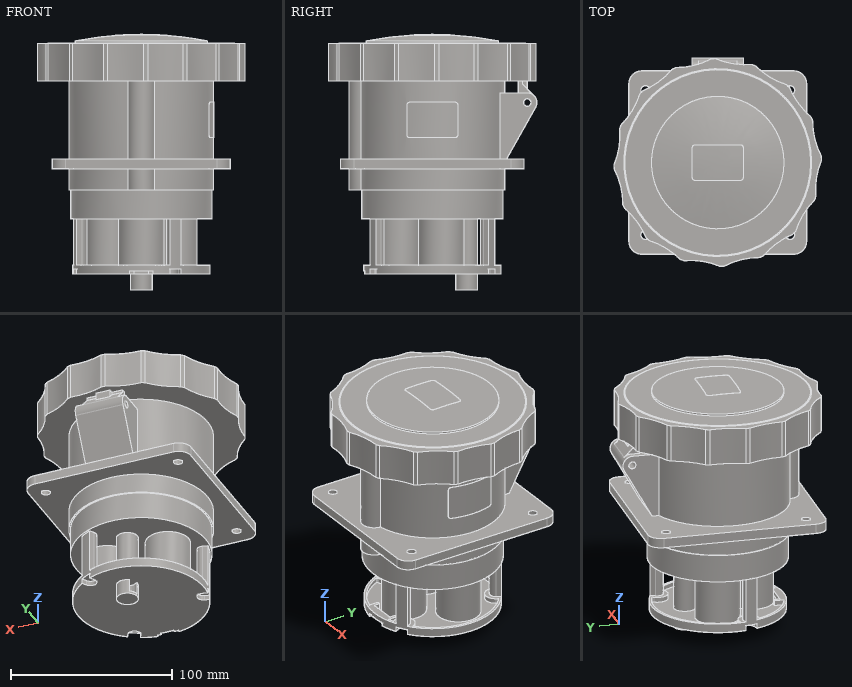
import cadquery as cq
import math

TIP_Z = 0
DISC_BOTTOM_Z = 9.9
DISC_FLOOR_Z = 12.4
DISC_TOP_Z = 15.5
COLLAR_BOTTOM_Z = 44.2
BODY_BOTTOM_Z = 62.1
FLANGE_BOTTOM_Z = 75.3
FLANGE_TOP_Z = 81.5
KNOB_BOTTOM_Z = 129.8
KNOB_TOP_Z = 153.2
LID_TOP_Z = 153.5
DOME_EDGE_Z = 154.8
TOP_Z = 158.9

BODY_R = 45.0
COLLAR_R = 44.0
KEY_RIB_R = 8.5
KEY_RIB_Y = -43.4
FLANGE_X = 110.6
FLANGE_Y = 114.1
FLANGE_CORNER_R = 8.3
FLANGE_HOLE_PITCH = 89.8
FLANGE_HOLE_D = 5.5

KNOB_R = 64.5
KNOB_VALLEY_R = 62.1
KNOB_LOBES = 16
KNOB_TURN = 2.4
LOBE_TIP_WIDTH = 2.7
LID_R = 58.3
LID_EDGE_SLOPE = 0.6
DOME_R = 41.2

LABEL_LENGTH = 31.8
LABEL_WIDTH = 22.1
LABEL_CORNER_R = 1.9
LABEL_HEIGHT = 0.1
SIDE_LABEL_Z = 105.7

HINGE_Y = 59.0
HINGE_Z = 116.5
HINGE_R = 6.0
HINGE_HOLE_D = 4.5
HINGE_WIDTH = 32.1
KNUCKLE_WIDTH = 24.2
HINGE_ROOT_Y = 31.8
HINGE_TOE_Y = 46.2
ARM_OUTER_Y = 56.0
ARM_INNER_Y = 53.2
ARM_RIB_WIDTH = 9.5

CONTACT_CIRCLE_R = 21.3
SLEEVE_R = 14.1
SLEEVE_ANGLES = (-90, 15, 165)
PIN_R = 6.8
PIN_GROOVE_ANGLE = 150
PIN_GROOVE_WIDTH = 5.5
PIN_GROOVE_END_CENTRE = 3.3
PIN_GROOVE_Z = 1.7

DISC_R = 42.7
RIM_WIDTH = 1.6
STRUT_ANGLES = (60, 195, 300)
STRUT_WIDTH = 8.0
STRUT_END_CENTRE = 39.1
STRUT_BOSS_R = 6.8
STRUT_NOTCH_Z = 13.0
LATCH_INNER_Y = -37.5
LATCH_RIB_INNER_Y = -33.5
LATCH_RIB_X = 9.9
LATCH_RIB_WIDTH = 2.0
LATCH_NOTCH_WIDTH = 14.5
LATCH_NOTCH_DEPTH = 1.9
LATCH_HOLE_WIDTH = 8.9
LATCH_HOLE_DEPTH = 3.5
LATCH_NOTCH_Z = 11.9


def polar(radius, degrees):
    """Point at a radius and angle about the Z axis."""
    angle = math.radians(degrees)
    return radius * math.cos(angle), radius * math.sin(angle)


def cylinder(radius, bottom, top, centre=(0, 0)):
    """Upright cylinder between two heights."""
    return cq.Workplane("XY", origin=(*centre, bottom)).circle(radius).extrude(top - bottom)


def block(x_range, y_range, z_range):
    """Box given by its limits along each axis."""
    sizes = [high - low for low, high in (x_range, y_range, z_range)]
    corner = (x_range[0], y_range[0], z_range[0])
    return cq.Workplane("XY", origin=corner).box(*sizes, centered=False)


def round_ended_bar(angle, end_centre, radius, outer_end, bottom, top):
    """Radial bar with a round inner end, turned to an angle about Z."""
    outline = (
        cq.Workplane("XY", origin=(0, 0, bottom))
        .moveTo(outer_end, -radius)
        .lineTo(end_centre, -radius)
        .threePointArc((end_centre - radius, 0), (end_centre, radius))
        .lineTo(outer_end, radius)
        .close()
    )
    return outline.extrude(top - bottom).rotate((0, 0, 0), (0, 0, 1), angle)


def make_knob():
    """Lobed knob: each lobe tip is a short flat, each valley a concave arc."""
    pitch = 360 / KNOB_LOBES
    half_tip = math.degrees(math.asin(LOBE_TIP_WIDTH / 2 / KNOB_R))
    outline = cq.Workplane("XY", origin=(0, 0, KNOB_BOTTOM_Z)).moveTo(*polar(KNOB_R, KNOB_TURN - half_tip))
    for lobe in range(KNOB_LOBES):
        tip = KNOB_TURN + lobe * pitch
        outline = outline.lineTo(*polar(KNOB_R, tip + half_tip)).threePointArc(
            polar(KNOB_VALLEY_R, tip + pitch / 2), polar(KNOB_R, tip + pitch - half_tip)
        )
    return outline.close().extrude(KNOB_TOP_Z - KNOB_BOTTOM_Z)


def make_dome(rise):
    """Spherical cap on a short cylinder, with its crown raised by the given amount."""
    crown_z = TOP_Z - LABEL_HEIGHT + rise
    sag = TOP_Z - LABEL_HEIGHT - DOME_EDGE_Z
    sphere_r = (DOME_R**2 + sag**2) / (2 * sag)
    half_r = DOME_R / 2
    half_z = crown_z - sphere_r + math.sqrt(sphere_r**2 - half_r**2)
    profile = (
        cq.Workplane("XZ")
        .moveTo(0, KNOB_TOP_Z)
        .lineTo(DOME_R, KNOB_TOP_Z)
        .lineTo(DOME_R, DOME_EDGE_Z + rise)
        .threePointArc((half_r, half_z), (0, crown_z))
        .close()
    )
    return profile.revolve(360, (0, 0, 0), (0, 1, 0))


def make_lid():
    """Lid plate with a sloped edge, the dome and the label on its crown."""
    plate = (
        cq.Workplane("XZ")
        .moveTo(0, KNOB_TOP_Z)
        .lineTo(LID_R, KNOB_TOP_Z)
        .lineTo(LID_R - LID_EDGE_SLOPE, LID_TOP_Z)
        .lineTo(0, LID_TOP_Z)
        .close()
        .revolve(360, (0, 0, 0), (0, 1, 0))
    )
    label_column = (
        cq.Workplane("XY", origin=(0, 0, KNOB_TOP_Z))
        .rect(LABEL_LENGTH, LABEL_WIDTH)
        .extrude(TOP_Z - KNOB_TOP_Z)
        .edges("|Z")
        .fillet(LABEL_CORNER_R)
    )
    return plate.union(make_dome(0)).union(make_dome(LABEL_HEIGHT).intersect(label_column))


def make_housing():
    """Body, collar, key rib and square flange."""
    body = cylinder(BODY_R, BODY_BOTTOM_Z, KNOB_BOTTOM_Z)
    collar = cylinder(COLLAR_R, COLLAR_BOTTOM_Z, BODY_BOTTOM_Z)
    key_rib = cylinder(KEY_RIB_R, BODY_BOTTOM_Z, KNOB_BOTTOM_Z, (0, KEY_RIB_Y))
    flange = (
        cq.Workplane("XY", origin=(0, 0, FLANGE_BOTTOM_Z))
        .rect(FLANGE_X, FLANGE_Y)
        .extrude(FLANGE_TOP_Z - FLANGE_BOTTOM_Z)
        .edges("|Z")
        .fillet(FLANGE_CORNER_R)
        .faces(">Z")
        .workplane()
        .rect(FLANGE_HOLE_PITCH, FLANGE_HOLE_PITCH, forConstruction=True)
        .vertices()
        .hole(FLANGE_HOLE_D)
    )
    return body.union(collar).union(key_rib).union(flange)


def make_side_label():
    """Label wrapped on the +X side of the body."""
    label_r = BODY_R + LABEL_HEIGHT
    column = (
        cq.Workplane("YZ")
        .center(0, SIDE_LABEL_Z)
        .rect(LABEL_LENGTH, LABEL_WIDTH)
        .extrude(label_r)
        .edges("|X")
        .fillet(LABEL_CORNER_R)
    )
    return cylinder(label_r, FLANGE_TOP_Z, KNOB_BOTTOM_Z).intersect(column)


def hinge_tangent(toe_y, toe_z):
    """Point where the line from the toe touches the outer side of the hinge round."""
    across, down = toe_y - HINGE_Y, toe_z - HINGE_Z
    toe_angle = math.degrees(math.atan2(down, across))
    swing = math.degrees(math.acos(HINGE_R / math.hypot(across, down)))
    touch_y, touch_z = polar(HINGE_R, toe_angle + swing)
    return HINGE_Y + touch_y, HINGE_Z + touch_z


def make_hinge():
    """Bracket on the body with the lid arm's knuckle on the same pivot."""
    hinge_top_z = HINGE_Z + HINGE_R
    bracket = (
        cq.Workplane("YZ")
        .moveTo(HINGE_ROOT_Y, hinge_top_z)
        .lineTo(HINGE_Y, hinge_top_z)
        .threePointArc((HINGE_Y + HINGE_R, HINGE_Z), hinge_tangent(HINGE_TOE_Y, FLANGE_TOP_Z))
        .lineTo(HINGE_TOE_Y, FLANGE_TOP_Z)
        .lineTo(HINGE_ROOT_Y, FLANGE_TOP_Z)
        .close()
        .extrude(HINGE_WIDTH / 2, both=True)
    )
    diagonal = HINGE_R / math.sqrt(2)
    bend_z = HINGE_Z + HINGE_R * math.sqrt(2) + HINGE_Y - ARM_OUTER_Y
    arm = (
        cq.Workplane("YZ")
        .moveTo(ARM_INNER_Y, HINGE_Z)
        .lineTo(HINGE_Y + HINGE_R, HINGE_Z)
        .threePointArc(
            (HINGE_Y + HINGE_R * math.cos(math.pi / 8), HINGE_Z + HINGE_R * math.sin(math.pi / 8)),
            (HINGE_Y + diagonal, HINGE_Z + diagonal),
        )
        .lineTo(ARM_OUTER_Y, bend_z)
        .lineTo(ARM_OUTER_Y, KNOB_BOTTOM_Z)
        .lineTo(ARM_INNER_Y, KNOB_BOTTOM_Z)
        .close()
        .extrude(KNUCKLE_WIDTH / 2, both=True)
    )
    half_rib = ARM_RIB_WIDTH / 2
    arm_rib = block((-half_rib, half_rib), (ARM_INNER_Y, HINGE_Y), (HINGE_Z, KNOB_BOTTOM_Z))
    pivot_hole = (
        cq.Workplane("YZ")
        .center(HINGE_Y, HINGE_Z)
        .circle(HINGE_HOLE_D / 2)
        .extrude(HINGE_WIDTH / 2, both=True)
    )
    return bracket.union(arm).union(arm_rib).cut(pivot_hole)


def make_contacts():
    """Three sleeves, and the long pin with a round-bottomed groove in its lower end."""
    pin_centre = polar(CONTACT_CIRCLE_R, 90)
    groove = round_ended_bar(
        PIN_GROOVE_ANGLE, PIN_GROOVE_END_CENTRE, PIN_GROOVE_WIDTH / 2, 2 * PIN_R, PIN_GROOVE_Z, DISC_BOTTOM_Z
    ).translate((*pin_centre, 0))
    contacts = cylinder(PIN_R, TIP_Z, COLLAR_BOTTOM_Z, pin_centre).cut(groove)
    for angle in SLEEVE_ANGLES:
        sleeve_centre = polar(CONTACT_CIRCLE_R, angle)
        contacts = contacts.union(cylinder(SLEEVE_R, DISC_BOTTOM_Z, COLLAR_BOTTOM_Z, sleeve_centre))
    return contacts


def make_disc():
    """Dished end disc with the latch pocket on its -Y side."""
    disc = cylinder(DISC_R, DISC_BOTTOM_Z, DISC_TOP_Z)
    outline = disc
    disc = disc.cut(cylinder(DISC_R - RIM_WIDTH, DISC_FLOOR_Z, DISC_TOP_Z))
    wall_z = (DISC_BOTTOM_Z, DISC_TOP_Z)
    half_span = LATCH_RIB_X + LATCH_RIB_WIDTH / 2
    pocket = block((-half_span, half_span), (-DISC_R, LATCH_INNER_Y), wall_z)
    for side in (-1, 1):
        rib_x = side * LATCH_RIB_X
        rib_range = (rib_x - LATCH_RIB_WIDTH / 2, rib_x + LATCH_RIB_WIDTH / 2)
        pocket = pocket.union(block(rib_range, (-DISC_R, LATCH_RIB_INNER_Y), wall_z))
    disc = disc.union(pocket.intersect(outline))
    for width, depth in ((LATCH_NOTCH_WIDTH, LATCH_NOTCH_DEPTH), (LATCH_HOLE_WIDTH, LATCH_HOLE_DEPTH)):
        notch = block((-width / 2, width / 2), (-DISC_R, depth - DISC_R), (DISC_BOTTOM_Z, LATCH_NOTCH_Z))
        disc = disc.cut(notch)
    return disc


def add_struts(disc):
    """Stand struts flush with the disc's edge on bosses, with a matching notch under each one."""
    outline = cylinder(DISC_R, DISC_BOTTOM_Z, COLLAR_BOTTOM_Z)
    strut_r = STRUT_WIDTH / 2
    outer_end = 2 * DISC_R
    for angle in STRUT_ANGLES:
        boss = round_ended_bar(angle, STRUT_END_CENTRE, STRUT_BOSS_R, outer_end, DISC_BOTTOM_Z, DISC_TOP_Z)
        strut = round_ended_bar(angle, STRUT_END_CENTRE, strut_r, outer_end, DISC_BOTTOM_Z, COLLAR_BOTTOM_Z)
        notch = round_ended_bar(angle, STRUT_END_CENTRE, strut_r, outer_end, DISC_BOTTOM_Z, STRUT_NOTCH_Z)
        disc = disc.union(boss.union(strut).intersect(outline)).cut(notch)
    return disc


result = (
    make_housing()
    .union(make_side_label())
    .union(make_knob())
    .union(make_lid())
    .union(make_hinge())
    .union(add_struts(make_disc()))
    .union(make_contacts())
)